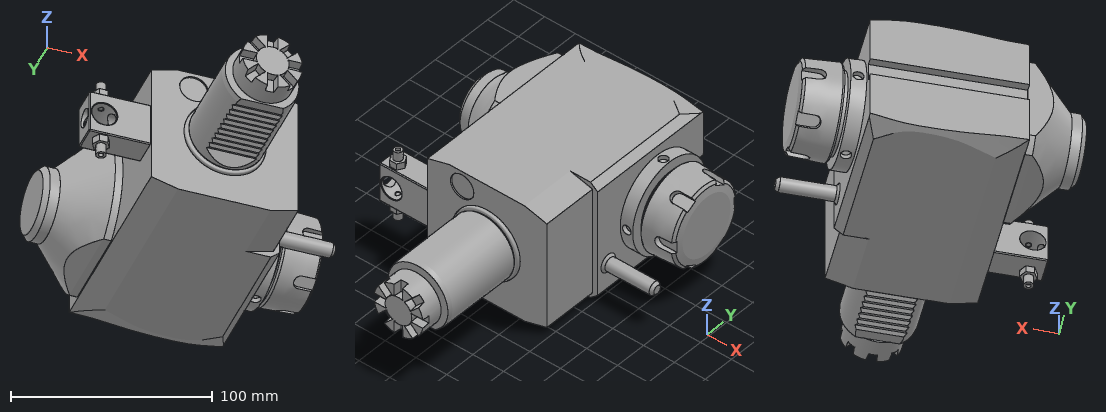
import cadquery as cq
import math


LEFT_X = -38.8
RIGHT_X = 42.1
FOOT_RIGHT_X = -LEFT_X
FOOT_LENGTH = 35.0
HOUSING_LENGTH = 116.1
HOUSING_HEIGHT = 75.0
HALF_HEIGHT = HOUSING_HEIGHT / 2
BEVEL_WIDTH = 14.4
BEVEL_DROP = 3.9
NOSE_BEVEL_WIDTH = 4.6
CORNER_Z = HALF_HEIGHT - BEVEL_DROP
CROWN_RIGHT_Z = 33.1
BACK_TAPER = math.tan(math.radians(15))
BACK_TAPER_REACH = 22.0
BACK_CROWN = [(-24.0, 34.2), (-7.4, 35.9), (12.5, 36.6), (25.8, 36.0), (37.5, 34.0)]
KEYWAY_WIDTH = 10.7
KEYWAY_DEPTH = 4.0
DATUM_X = -16.2
DATUM_Z = 27.8
DATUM_RADIUS = 7.5
DATUM_DEPTH = 1.0

COLLAR_RADIUS = 21.5
COLLAR_LENGTH = 2.0
COLLAR_ROUND = 1.0
SHANK_RADIUS = 20.0
SHANK_RELIEF_RADIUS = 19.5
SHANK_RELIEF_END = 3.0
SHANK_CHAMFER_START = 50.0
SHANK_LENGTH = 53.0
NECK_RADIUS = 12.9
COUPLING_START = 54.1
COUPLING_END = 67.9
COUPLING_RADIUS = 16.0
COUPLING_CORE_RADIUS = 8.6
COUPLING_SLOTS = 8
COUPLING_SLOT_DEPTH = 4.6
COUPLING_SLOT_FLOOR = 4.5
COUPLING_SLOT_MOUTH = 5.5

SERRATION_PITCH = 4.0
SERRATION_COUNT = 10
SERRATION_START = 9.4
SERRATION_ROOT = 15.0
SERRATION_CREST = 16.0

SPINDLE_Y = 80.5
COVER_RADIUS = 40.5
COVER_RIM_X = -42.9
HUB_RADIUS = 19.3
HUB_CHAMFER = 2.8
HUB_END_X = -72.1
COVER_HALF_HEIGHT = 32.5
COVER_FLAT_TAPER = math.tan(math.radians(13.5))
COVER_BACK_Y = 111.7
RING_RADIUS = 28.2
RING_END_X = 50.2
SPANNER_HOLE_X = 46.4
SPANNER_HOLE_RADIUS = 2.8
SPANNER_HOLE_DEPTH = 2.8
SPINDLE_NECK_RADIUS = 21.7
NUT_START_X = 52.5
NUT_RADIUS = 25.5
NUT_FRONT_RADIUS = 24.7
NUT_LEAD_IN = 1.1
NUT_TAPER_END_X = 72.3
NUT_SHOULDER_X = 73.6
NUT_SHOULDER_RADIUS = 23.0
NUT_FACE_RADIUS = 18.4
NUT_END_X = 74.5
NUT_SLOTS = 6
NUT_SLOT_WIDTH = 7.0
NUT_SLOT_START_X = 62.0
NUT_SLOT_FLOOR = 21.9

PIN_Y = 43.0
PIN_Z = -17.7
PIN_RADIUS = 4.0
PIN_BASE_RADIUS = 5.5
PIN_BASE_LENGTH = 1.3
PIN_SHOULDER_X = 72.1
PIN_TIP_RADIUS = 2.5
PIN_END_X = 74.0

BLOCK_LEFT_X = -71.2
BLOCK_FRONT_Y = 1.1
BLOCK_BACK_Y = 16.2
BLOCK_HEIGHT = 24.7
BLOCK_CHAMFER = 0.5
PORT_X = -63.1
FRONT_PORT_RADIUS = 6.6
FRONT_PORT_CHAMFER = 0.4
SIDE_PORT_Y = 7.7
SIDE_PORT_RADIUS = 5.0
SIDE_PORT_END_X = -49.7
SIDE_PILOT_RADIUS = 1.7
FEED_RADIUS = 1.5
FEED_LENGTH = 14.4
NIPPLE_Y = 6.3
NIPPLE_HEX_FLATS = 7.7
NIPPLE_HEX_TOP = 16.4
NIPPLE_TOP = 22.0
NIPPLE_RADIUS = 2.5
NIPPLE_BORE_RADIUS = 1.3
NIPPLE_BORE_DEPTH = 1.8

DRILL_POINT_SLOPE = math.tan(math.radians(31))


def turned_on_shank(points):
    """Solid of revolution about the Y axis from (radius, y) points."""
    profile = [(0, points[0][1])] + points + [(0, points[-1][1])]
    return cq.Workplane("XY").polyline(profile).close().revolve(360, (0, 0, 0), (0, 1, 0))


def turned_along_x(points, axis_y, axis_z):
    """Solid of revolution about a line parallel to X from (x, radius) points."""
    profile = [(points[0][0], 0)] + points + [(points[-1][0], 0)]
    body = cq.Workplane("XY").polyline(profile).close().revolve(360, (0, 0, 0), (1, 0, 0))
    return body.translate((0, axis_y, axis_z))


def drilled(start, direction, radius, depth):
    """Blind drill hole with a conical point, running from start along direction."""
    point = radius * DRILL_POINT_SLOPE
    origin = cq.Vector(*start)
    way = cq.Vector(*direction)
    bore = cq.Solid.makeCylinder(radius, depth, origin, way)
    cone = cq.Solid.makeCone(radius, 0, point, origin + way * depth, way)
    return cq.Workplane(bore).union(cq.Workplane(cone))


def bevelled_prism(right_x, right_bevel, length):
    """Housing cross-section with bevelled long edges, extruded from Y = 0 to length."""
    outline = [
        (LEFT_X, CORNER_Z),
        (LEFT_X + BEVEL_WIDTH, HALF_HEIGHT),
        (right_x - right_bevel, HALF_HEIGHT),
        (right_x, CORNER_Z),
        (right_x, -CORNER_Z),
        (right_x - right_bevel, -HALF_HEIGHT),
        (LEFT_X + BEVEL_WIDTH, -HALF_HEIGHT),
        (LEFT_X, -CORNER_Z),
    ]
    return cq.Workplane("XZ").polyline(outline).close().extrude(-length)


def back_taper_cutter():
    """Material above the crowned back edge, swept forward and up at the taper angle."""
    crown = [(LEFT_X, CORNER_Z)] + BACK_CROWN + [(RIGHT_X, CROWN_RIGHT_Z)]
    wire = (
        cq.Workplane("XZ", origin=(0, HOUSING_LENGTH, 0))
        .spline(crown)
        .lineTo(RIGHT_X, HOUSING_HEIGHT)
        .lineTo(LEFT_X, HOUSING_HEIGHT)
        .close()
        .val()
    )
    sweep = cq.Vector(0, -BACK_TAPER_REACH, BACK_TAPER_REACH * BACK_TAPER)
    return cq.Workplane(cq.Solid.extrudeLinear(wire, [], sweep))


def make_housing():
    foot = bevelled_prism(FOOT_RIGHT_X, BEVEL_WIDTH, FOOT_LENGTH)
    head = bevelled_prism(RIGHT_X, NOSE_BEVEL_WIDTH, HOUSING_LENGTH - FOOT_LENGTH)
    housing = foot.union(head.translate((0, FOOT_LENGTH, 0)))
    taper = back_taper_cutter()
    housing = housing.cut(taper).cut(taper.mirror("XY"))
    keyway = cq.Workplane("XY").box(4 * RIGHT_X, 2 * KEYWAY_DEPTH, KEYWAY_WIDTH)
    housing = housing.cut(keyway.translate((0, HOUSING_LENGTH, 0)))
    datum = cq.Workplane("XZ").center(DATUM_X, DATUM_Z).circle(DATUM_RADIUS).extrude(-DATUM_DEPTH)
    return housing.cut(datum)


def make_shank():
    collar = cq.Workplane("XZ").circle(COLLAR_RADIUS).extrude(COLLAR_LENGTH)
    collar = collar.faces("<Y").edges().fillet(COLLAR_ROUND)
    shank = turned_on_shank([
        (SHANK_RELIEF_RADIUS, 0),
        (SHANK_RELIEF_RADIUS, -COLLAR_LENGTH),
        (SHANK_RADIUS, -SHANK_RELIEF_END),
        (SHANK_RADIUS, -SHANK_CHAMFER_START),
        (SHANK_RELIEF_RADIUS, -SHANK_LENGTH),
        (NECK_RADIUS, -SHANK_LENGTH),
        (NECK_RADIUS, -COUPLING_START),
    ])
    return collar.union(shank.cut(serration_cutter()))


def serration_cutter():
    """Sawtooth-topped prism below the shank, with a 45 degree run-in at the collar."""
    run_in = SHANK_RADIUS - SERRATION_ROOT
    teeth = []
    for i in range(SERRATION_COUNT):
        root_y = -SERRATION_START - SERRATION_PITCH * i
        teeth.append((root_y, -SERRATION_ROOT))
        teeth.append((root_y - SERRATION_PITCH / 2, -SERRATION_CREST))
    outline = [(-SERRATION_START + run_in, -SHANK_RADIUS)] + teeth
    outline += [(-SHANK_LENGTH, -SERRATION_CREST), (-SHANK_LENGTH, -SHANK_RADIUS)]
    return cq.Workplane("YZ").polyline(outline).close().extrude(SHANK_RADIUS, both=True)


def make_coupling():
    coupling = (
        cq.Workplane("XZ", origin=(0, -COUPLING_START, 0))
        .circle(COUPLING_RADIUS)
        .extrude(COUPLING_END - COUPLING_START)
    )
    floor_y = COUPLING_SLOT_DEPTH - COUPLING_END
    slot = (
        cq.Workplane("XY")
        .polyline([
            (-COUPLING_SLOT_FLOOR / 2, floor_y),
            (COUPLING_SLOT_FLOOR / 2, floor_y),
            (COUPLING_SLOT_MOUTH / 2, -COUPLING_END),
            (-COUPLING_SLOT_MOUTH / 2, -COUPLING_END),
        ])
        .close()
        .extrude(2 * COUPLING_RADIUS)
    )
    core = (
        cq.Workplane("XZ", origin=(0, -COUPLING_START, 0))
        .circle(COUPLING_CORE_RADIUS)
        .extrude(COUPLING_END - COUPLING_START)
    )
    for i in range(COUPLING_SLOTS):
        coupling = coupling.cut(slot.rotate((0, 0, 0), (0, 1, 0), i * 360 / COUPLING_SLOTS))
    return coupling.union(core)


def make_bearing_cover():
    hub_start_x = COVER_RIM_X - (COVER_RADIUS - HUB_RADIUS)
    cover = turned_along_x([
        (HUB_END_X, HUB_RADIUS - HUB_CHAMFER),
        (HUB_END_X + HUB_CHAMFER, HUB_RADIUS),
        (hub_start_x, HUB_RADIUS),
        (COVER_RIM_X, COVER_RADIUS),
        (LEFT_X, COVER_RADIUS),
    ], SPINDLE_Y, 0)
    end_half_height = COVER_HALF_HEIGHT - (COVER_RIM_X - HUB_END_X) * COVER_FLAT_TAPER
    envelope = (
        cq.Workplane("XZ", origin=(0, COVER_BACK_Y, 0))
        .polyline([
            (HUB_END_X, end_half_height),
            (COVER_RIM_X, COVER_HALF_HEIGHT),
            (LEFT_X, COVER_HALF_HEIGHT),
            (LEFT_X, -COVER_HALF_HEIGHT),
            (COVER_RIM_X, -COVER_HALF_HEIGHT),
            (HUB_END_X, -end_half_height),
        ])
        .close()
        .extrude(2 * COVER_RADIUS)
    )
    return cover.intersect(envelope)


def make_spindle_nose():
    nose = turned_along_x([
        (RIGHT_X, RING_RADIUS),
        (RING_END_X, RING_RADIUS),
        (RING_END_X, SPINDLE_NECK_RADIUS),
        (NUT_START_X, SPINDLE_NECK_RADIUS),
        (NUT_START_X, NUT_RADIUS - NUT_LEAD_IN),
        (NUT_START_X + NUT_LEAD_IN, NUT_RADIUS),
        (NUT_TAPER_END_X, NUT_FRONT_RADIUS),
        (NUT_SHOULDER_X, NUT_SHOULDER_RADIUS),
        (NUT_END_X, NUT_FACE_RADIUS),
    ], 0, 0)
    slot_end_x = NUT_END_X + NUT_SLOT_WIDTH
    slot = (
        cq.Workplane("XZ", origin=(0, -NUT_SLOT_FLOOR, 0))
        .center((NUT_SLOT_START_X + slot_end_x) / 2, 0)
        .slot2D(slot_end_x - NUT_SLOT_START_X, NUT_SLOT_WIDTH)
        .extrude(NUT_RADIUS)
    )
    for i in range(NUT_SLOTS):
        nose = nose.cut(slot.rotate((0, 0, 0), (1, 0, 0), i * 360 / NUT_SLOTS))
    for y, z in [(1, 0), (0, 1), (-1, 0), (0, -1)]:
        start = (SPANNER_HOLE_X, y * RING_RADIUS, z * RING_RADIUS)
        nose = nose.cut(drilled(start, (0, -y, -z), SPANNER_HOLE_RADIUS, SPANNER_HOLE_DEPTH))
    return nose.translate((0, SPINDLE_Y, 0))


def make_pin():
    return turned_along_x([
        (RIGHT_X, PIN_BASE_RADIUS),
        (RIGHT_X + PIN_BASE_LENGTH, PIN_RADIUS),
        (PIN_SHOULDER_X, PIN_RADIUS),
        (PIN_END_X, PIN_TIP_RADIUS),
    ], PIN_Y, PIN_Z)


def make_nipple():
    hexagon = (
        cq.Workplane("XY")
        .polygon(6, NIPPLE_HEX_FLATS / math.cos(math.pi / 6))
        .extrude(NIPPLE_HEX_TOP - BLOCK_HEIGHT / 2)
    )
    stem = (
        cq.Workplane("XY")
        .circle(NIPPLE_RADIUS)
        .extrude(NIPPLE_TOP - BLOCK_HEIGHT / 2)
        .faces(">Z")
        .workplane()
        .hole(2 * NIPPLE_BORE_RADIUS, NIPPLE_BORE_DEPTH)
    )
    return hexagon.union(stem).translate((PORT_X, NIPPLE_Y, BLOCK_HEIGHT / 2))


def make_coolant_block():
    block_length = LEFT_X - BLOCK_LEFT_X
    block_width = BLOCK_BACK_Y - BLOCK_FRONT_Y
    block = (
        cq.Workplane("XY", origin=(BLOCK_LEFT_X, BLOCK_FRONT_Y, 0))
        .box(block_length, block_width, BLOCK_HEIGHT, centered=(False, False, True))
    )
    block = block.edges("|X or <X").chamfer(BLOCK_CHAMFER)
    front_port = (
        cq.Workplane("XZ", origin=(PORT_X, BLOCK_FRONT_Y, 0))
        .circle(FRONT_PORT_RADIUS)
        .extrude(BLOCK_FRONT_Y - BLOCK_BACK_Y)
    )
    side_face = cq.Workplane("YZ", origin=(BLOCK_LEFT_X, SIDE_PORT_Y, 0))
    side_port = side_face.circle(SIDE_PORT_RADIUS).extrude(SIDE_PORT_END_X - BLOCK_LEFT_X)
    pilot = side_face.circle(SIDE_PILOT_RADIUS).extrude(LEFT_X - BLOCK_LEFT_X)
    feed = (
        cq.Workplane("XY", origin=(PORT_X, NIPPLE_Y, 0))
        .circle(FEED_RADIUS)
        .extrude(FEED_LENGTH / 2, both=True)
    )
    block = block.cut(front_port)
    block = block.faces("<Y").edges("%CIRCLE").chamfer(FRONT_PORT_CHAMFER)
    block = block.cut(side_port).cut(pilot).cut(feed)
    nipple = make_nipple()
    return block.union(nipple).union(nipple.mirror("XY"))


result = (
    make_housing()
    .union(make_shank())
    .union(make_coupling())
    .union(make_bearing_cover())
    .union(make_spindle_nose())
    .union(make_pin())
    .union(make_coolant_block())
)